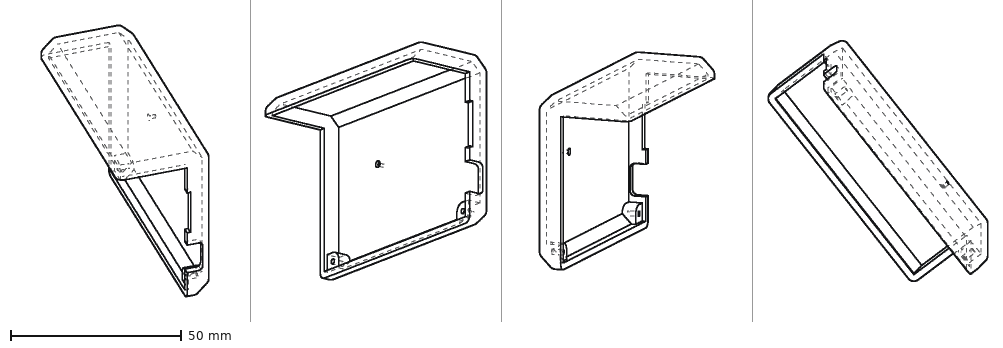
import cadquery as cq

length = 70.8
depth = 28.9
height = 52.5
wall = 2.05
edge_radius = wall
bevel = 4.1
rim_depth = 7.4
top_height = 6.3

back_y = depth / 2
front_y = -depth / 2
rim_y = back_y - rim_depth
split_z = height - top_height

boss_size = 5.4
boss_radius = 2.7
boss_recess = 1.05
boss_hole_offset = 2.6
boss_hole_diameter = 1.5
boss_hole_depth = 3.55

panel_hole_x = -14.9
panel_hole_z = 31.5
panel_hole_diameter = 1.0
panel_sink_diameter = 2.0
panel_sink_depth = (panel_sink_diameter - panel_hole_diameter) / 2

upper_cutout_bottom = 23.4
upper_cutout_top = 37.4
upper_cutout_depth = 1.05
lower_cutout_bottom = 9.35
lower_cutout_top = 19.05
lower_cutout_depth = 4.9
lower_cutout_radius = 1.5


def block(x_min, x_max, y_min, y_max, z_min, z_max):
    """Box given by its limits along each axis."""
    return cq.Workplane("XY").box(
        x_max - x_min, y_max - y_min, z_max - z_min, centered=False
    ).translate((x_min, y_min, z_min))


def rod(x, z, diameter, y_start, rod_length):
    """Cylinder running from y_start toward +Y."""
    start = cq.Vector(x, y_start, z)
    direction = cq.Vector(0, 1, 0)
    return cq.Workplane(cq.Solid.makeCylinder(diameter / 2, rod_length, start, direction))


def bevelled_box(inset=0.0):
    """Complete box with its long edges bevelled, every face moved in by inset."""
    leg = bevel - (2 - 2**0.5) * inset
    return (
        cq.Workplane("XY")
        .box(length - 2 * inset, depth - 2 * inset, height - 2 * inset)
        .translate((0, 0, height / 2))
        .edges("|X")
        .chamfer(leg)
    )


def boss(side):
    """Corner boss with a blind screw hole; side is -1 or 1."""
    inner_x = side * (length / 2 - wall)
    free_x = inner_x - side * boss_size
    face_y = rim_y + boss_recess
    body = block(
        min(inner_x, free_x), max(inner_x, free_x),
        face_y, back_y - wall,
        wall, wall + boss_size,
    )
    free_face = "<X" if side > 0 else ">X"
    body = body.faces(free_face).edges(">Z").fillet(boss_radius)
    hole = rod(
        inner_x - side * boss_hole_offset, wall + boss_hole_offset,
        boss_hole_diameter, face_y, boss_hole_depth,
    )
    return body, hole


def wall_cutout(z_min, z_max, cut_depth):
    """Opening through the +X wall, starting at the rim."""
    return block(length / 2 - wall, length / 2, rim_y, rim_y + cut_depth, z_min, z_max)


outer = bevelled_box().edges().fillet(edge_radius)
removed_front = block(-length / 2, length / 2, front_y, rim_y, 0, split_z)
shell = outer.cut(bevelled_box(wall)).cut(removed_front)

for side in (-1, 1):
    body, hole = boss(side)
    shell = shell.union(body.intersect(outer)).cut(hole)

panel_y = back_y - wall
shell = shell.cut(rod(panel_hole_x, panel_hole_z, panel_hole_diameter, panel_y, wall))
countersink = cq.Solid.makeCone(
    panel_sink_diameter / 2, panel_hole_diameter / 2, panel_sink_depth,
    cq.Vector(panel_hole_x, panel_y, panel_hole_z), cq.Vector(0, 1, 0),
)
shell = shell.cut(cq.Workplane(countersink))

upper_cutout = wall_cutout(upper_cutout_bottom, upper_cutout_top, upper_cutout_depth)
lower_cutout = wall_cutout(lower_cutout_bottom, lower_cutout_top, lower_cutout_depth)
lower_cutout = lower_cutout.faces(">Y").edges("|X").fillet(lower_cutout_radius)

result = shell.cut(upper_cutout).cut(lower_cutout)